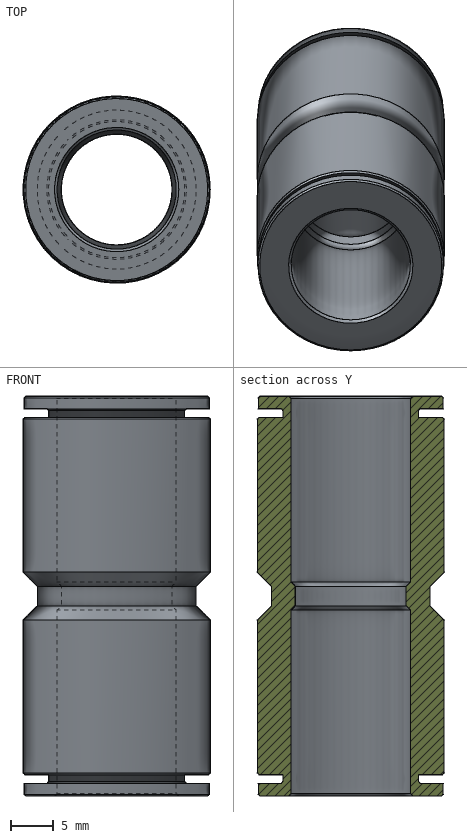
import cadquery as cq


total_length = 47.0
flange_thickness = 1.5
release_gap = 1.0
waist_width = 2.3

body_diameter = 22.0
flange_diameter = 21.8
waist_diameter = 18.7
neck_diameter = 16.0
tube_bore_diameter = 14.0
stop_bore_diameter = 13.0

rim_chamfer = 0.2
bore_chamfer = 0.3
neck_chamfer = 0.2

body_radius = body_diameter / 2
flange_radius = flange_diameter / 2
waist_radius = waist_diameter / 2
neck_radius = neck_diameter / 2
tube_bore_radius = tube_bore_diameter / 2
stop_bore_radius = stop_bore_diameter / 2

top_level = total_length / 2
flange_bottom = top_level - flange_thickness
body_top = flange_bottom - release_gap
waist_top = waist_width / 2
body_bottom = waist_top + body_radius - waist_radius
stop_top = waist_top + tube_bore_radius - stop_bore_radius


outer_outline = [
    (waist_radius, waist_top),
    (body_radius, body_bottom),
    (body_radius, body_top - rim_chamfer),
    (body_radius - rim_chamfer, body_top),
    (neck_radius, body_top),
    (neck_radius, flange_bottom - neck_chamfer),
    (neck_radius + neck_chamfer, flange_bottom),
    (flange_radius, flange_bottom),
    (flange_radius, top_level - rim_chamfer),
    (flange_radius - rim_chamfer, top_level),
]

bore_outline = [
    (tube_bore_radius + bore_chamfer, top_level),
    (tube_bore_radius, top_level - bore_chamfer),
    (tube_bore_radius, stop_top),
    (stop_bore_radius, waist_top),
]


def mirrored(outline):
    """Reflect (radius, height) points below the mid-plane, keeping the loop direction."""
    return [(radius, -height) for radius, height in reversed(outline)]


def revolved(section):
    """Revolve a closed (radius, height) section about Z."""
    return cq.Workplane("XZ").polyline(section).close().revolve(360, (0, 0, 0), (0, 1, 0))


upper_section = outer_outline + bore_outline
result = revolved(upper_section + mirrored(upper_section))